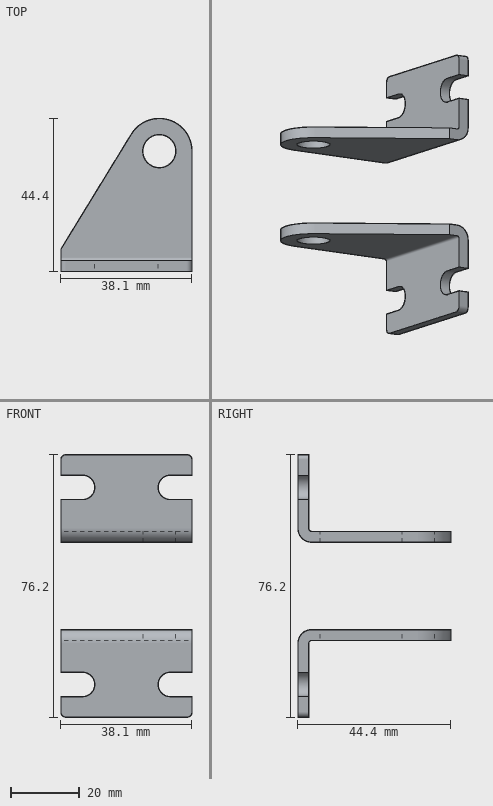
import cadquery as cq
import math

width = 38.1
depth = 44.4
total_height = 76.2
bracket_height = 25.45
sheet = 3.2

inner_bend_radius = 0.8
outer_bend_radius = inner_bend_radius + sheet

eye_radius = 9.5
eye_hole_diameter = 9.5
eye_x = width - eye_radius
eye_y = depth - eye_radius
slant_start_y = 6.5

corner_radius = 1.5
slot_width = 7.0
slot_depth = 9.8
slot_z = 9.5


def make_bent_sheet():
    """L-shaped sheet with its bend at the top front edge."""
    return (
        cq.Workplane("YZ")
        .lineTo(sheet, 0)
        .lineTo(sheet, bracket_height - outer_bend_radius)
        .radiusArc((outer_bend_radius, bracket_height - sheet), inner_bend_radius)
        .lineTo(depth, bracket_height - sheet)
        .lineTo(depth, bracket_height)
        .lineTo(outer_bend_radius, bracket_height)
        .radiusArc((0, bracket_height - outer_bend_radius), -outer_bend_radius)
        .close()
        .extrude(width)
    )


def make_lug_outline():
    """Prism bounding the bracket from above; its slanted side is tangent to the eye."""
    reach = math.hypot(eye_x, eye_y - slant_start_y)
    direction_to_eye = math.atan2(eye_y - slant_start_y, eye_x)
    slant_angle = direction_to_eye + math.asin(eye_radius / reach)
    tangent_x = eye_x - eye_radius * math.sin(slant_angle)
    tangent_y = eye_y + eye_radius * math.cos(slant_angle)
    return (
        cq.Workplane("XY")
        .lineTo(width, 0)
        .lineTo(width, eye_y)
        .threePointArc((eye_x, depth), (tangent_x, tangent_y))
        .lineTo(0, slant_start_y)
        .close()
        .extrude(bracket_height)
    )


def make_eye_hole():
    return cq.Workplane("XY").center(eye_x, eye_y).circle(eye_hole_diameter / 2).extrude(bracket_height)


def make_slots():
    """Two round-ended slots, each open to one side of the flange."""
    slots = cq.Workplane("XZ")
    return (
        slots.pushPoints([(0, slot_z), (width, slot_z)])
        .slot2D(2 * slot_depth, slot_width)
        .extrude(-sheet)
    )


def make_bracket():
    """Lower bracket, with its flange hanging below the lug plate."""
    bracket = make_bent_sheet().intersect(make_lug_outline())
    bracket = bracket.faces("<Z").edges("|Y").fillet(corner_radius)
    return bracket.cut(make_eye_hole()).cut(make_slots())


brackets = []
for is_upper in (False, True):
    bracket = make_bracket()
    if is_upper:
        bracket = bracket.mirror("XY", (0, 0, total_height / 2))
    brackets.append(bracket.val())

result = cq.Compound.makeCompound(brackets)